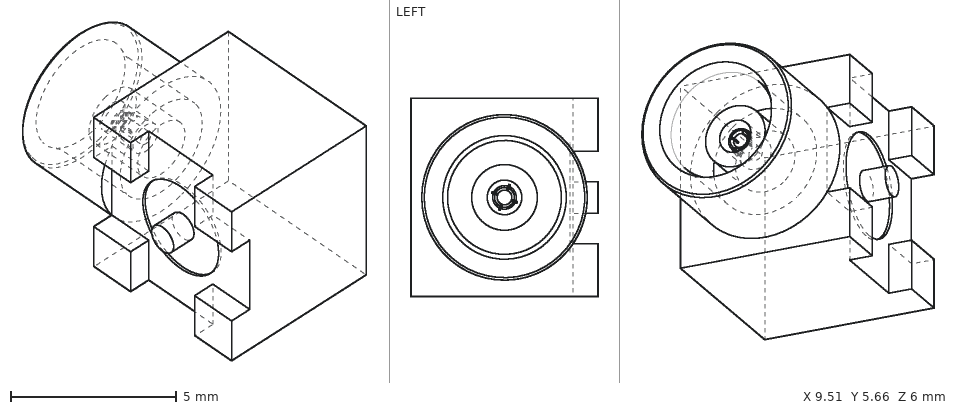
import cadquery as cq

overall_length = 9.51
body_side = 6.0
body_depth = 5.66

foot_side = 1.61
foot_height = 0.76

seat_diameter = 3.3
seat_depth = 0.095
pin_diameter = 0.96

barrel_diameter = 5.0
barrel_edge_chamfer = 0.08
bore_diameter = 3.44
mouth_diameter = 3.74
mouth_depth = 0.48

insulator_diameter = 1.99
insulator_setback = 1.4
insulator_hole_diameter = 1.05

contact_setback = 0.29
contact_tip_diameter = 0.71
contact_lip = 0.06
contact_bore_diameter = 0.45
contact_taper_length = 1.14
slot_length = 0.38
slot_width = 0.05
slot_count = 4
slot_tilt = 22.0

barrel_end_x = -overall_length / 2
body_front_x = overall_length / 2 - body_side
body_center_x = body_front_x + body_side / 2
feet_y = -body_depth / 2
underside_y = feet_y + foot_height
bore_depth = body_front_x - barrel_end_x
insulator_face_x = barrel_end_x + insulator_setback
contact_tip_x = insulator_face_x + contact_setback
contact_root_x = contact_tip_x + contact_taper_length
contact_lead_in = contact_tip_diameter / 2 - contact_lip - contact_bore_diameter / 2


def cylinder_x(diameter, start_x, length):
    """Cylinder on the barrel axis, running toward +X."""
    return cq.Workplane("YZ", origin=(start_x, 0, 0)).circle(diameter / 2).extrude(length)


def cone_x(start_diameter, end_diameter, start_x, length):
    """Truncated cone on the barrel axis, running toward +X."""
    profile = [
        (start_x, 0),
        (start_x, start_diameter / 2),
        (start_x + length, end_diameter / 2),
        (start_x + length, 0),
    ]
    return cq.Workplane("XY").polyline(profile).close().revolve(360, (0, 0, 0), (1, 0, 0))


def cylinder_y(diameter, start_y, length):
    """Cylinder on the signal pin axis, running toward +Y."""
    plane = cq.Workplane("XZ", origin=(body_center_x, start_y, 0))
    return plane.circle(diameter / 2).extrude(-length)


def make_body():
    """Block with a cross-shaped clearance that leaves a foot at each corner."""
    body = cq.Workplane("XY").box(body_side, body_depth, body_side)
    gap = body_side - 2 * foot_side
    clearance_y = feet_y + foot_height / 2
    for size_x, size_z in ((gap, body_side), (body_side, gap)):
        clearance = cq.Workplane("XY").box(size_x, foot_height, size_z)
        body = body.cut(clearance.translate((0, clearance_y, 0)))
    return body.translate((body_center_x, 0, 0))


def make_barrel():
    """Hollow barrel with a chamfered rim and a conical mouth."""
    barrel = cylinder_x(barrel_diameter, barrel_end_x, bore_depth)
    barrel = barrel.faces("<X").chamfer(barrel_edge_chamfer)
    barrel = barrel.cut(cylinder_x(bore_diameter, barrel_end_x, bore_depth))
    return barrel.cut(cone_x(mouth_diameter, bore_diameter, barrel_end_x, mouth_depth))


def make_contact():
    """Tapered, slotted socket contact that fills the insulator hole at its root."""
    contact = cone_x(contact_tip_diameter, insulator_hole_diameter, contact_tip_x, contact_taper_length)
    contact = contact.cut(cylinder_x(contact_bore_diameter, contact_tip_x, contact_taper_length))
    lead_in_diameter = contact_tip_diameter - 2 * contact_lip
    contact = contact.cut(cone_x(lead_in_diameter, contact_bore_diameter, contact_tip_x, contact_lead_in))
    slot = cq.Workplane("XY").box(
        slot_length, slot_width, insulator_hole_diameter, centered=(False, True, False)
    )
    slot = slot.translate((contact_tip_x, 0, 0))
    for index in range(slot_count):
        angle = slot_tilt + index * 360 / slot_count
        contact = contact.cut(slot.rotate((0, 0, 0), (1, 0, 0), angle))
    return contact


def make_insulator():
    """Insulator standing on the bore floor, with a blind hole around the contact."""
    insulator = cylinder_x(insulator_diameter, insulator_face_x, body_front_x - insulator_face_x)
    hole_depth = contact_root_x - insulator_face_x
    return insulator.cut(cylinder_x(insulator_hole_diameter, insulator_face_x, hole_depth))


result = make_body().union(make_barrel()).union(make_insulator()).union(make_contact())
result = result.cut(cylinder_y(seat_diameter, underside_y, seat_depth))
result = result.union(cylinder_y(pin_diameter, feet_y, foot_height + seat_depth))